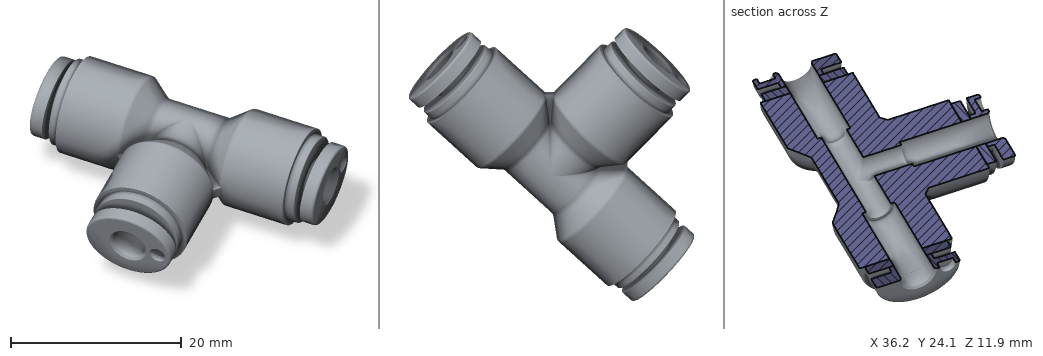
import cadquery as cq

PORT_ANGLES = [0, 180, -90]

PORT_END = 18.1
FLANGE_THICKNESS = 1.63
COLLAR_END = 15.67
BODY_END = 14.48
SHOULDER = 6.5

BODY_DIAMETER = 11.9
THROAT_DIAMETER = 8.0
THROAT_END = THROAT_DIAMETER / 2
CONE_FILLET = 0.5
WEB_THICKNESS = 1.45
WEB_REACH = 6.65
PASSAGE_DIAMETER = 3.2
SEAT_DIAMETER = 4.15

COLLAR_DIAMETER = 10.6
COLLAR_FILLET = 0.1

FLANGE_WIDTH = 10.8
FLANGE_HEIGHT = 8.6
FLANGE_FILLET = 0.25
NECK_DIAMETER = 5.5
NECK_FILLET = 0.1
BUTTON_BORE = 4.2
BORE_CHAMFER = 0.25
DIMPLE_DIAMETER = 2.0
DIMPLE_OFFSET = 3.75
DIMPLE_DEPTH = 0.8


def cylinder_x(start, end, diameter):
    """Cylinder about the X axis between two X positions."""
    return cq.Workplane("YZ", origin=(start, 0, 0)).circle(diameter / 2).extrude(end - start)


def turn_to_port(port, angle):
    """Turn a shape modelled along +X to the port at the given angle."""
    return port.rotate((0, 0, 0), (0, 0, 1), angle)


def make_arm():
    """Solid outside of one housing port: throat, cone and body."""
    profile = [
        (0, 0),
        (0, THROAT_DIAMETER / 2),
        (THROAT_END, THROAT_DIAMETER / 2),
        (SHOULDER, BODY_DIAMETER / 2),
        (BODY_END, BODY_DIAMETER / 2),
        (BODY_END, 0),
    ]
    arm = cq.Workplane("XY").polyline(profile).close().revolve(360, (0, 0, 0), (1, 0, 0))
    middle = (THROAT_END + SHOULDER) / 2
    half_length = (SHOULDER - THROAT_END) / 2 + CONE_FILLET
    cone_ends = cq.selectors.BoxSelector(
        (middle - half_length, -BODY_DIAMETER, -BODY_DIAMETER),
        (middle + half_length, BODY_DIAMETER, BODY_DIAMETER),
    )
    return arm.edges("%CIRCLE").edges(cone_ends).fillet(CONE_FILLET)


def make_web():
    """Flat web that fills the two corners between the run and the branch."""
    edge = BODY_DIAMETER / 2
    outline = [
        (0, 0),
        (-WEB_REACH, -edge),
        (-edge, -WEB_REACH),
        (edge, -WEB_REACH),
        (WEB_REACH, -edge),
    ]
    return cq.Workplane("XY").polyline(outline).close().extrude(WEB_THICKNESS / 2, both=True)


def make_housing():
    """Tee body with a passage and a tube seat in each port."""
    arm = make_arm()
    passage = cylinder_x(0, BODY_END, PASSAGE_DIAMETER)
    seat = cylinder_x(SHOULDER, BODY_END, SEAT_DIAMETER)

    body = make_web()
    for angle in PORT_ANGLES:
        body = body.union(turn_to_port(arm, angle))
    for angle in PORT_ANGLES:
        body = body.cut(turn_to_port(passage, angle)).cut(turn_to_port(seat, angle))
    return body


def make_collar(angle):
    """Ring on the end face of one housing port."""
    ring = cylinder_x(BODY_END, COLLAR_END, COLLAR_DIAMETER)
    ring = ring.cut(cylinder_x(BODY_END, COLLAR_END, SEAT_DIAMETER))
    ring = ring.faces(">X").edges(cq.selectors.RadiusNthSelector(-1)).fillet(COLLAR_FILLET)
    return turn_to_port(ring, angle)


def make_button(angle):
    """Release button: elliptical flange on a round neck, bored for the tube."""
    flange_back = PORT_END - FLANGE_THICKNESS
    button = (
        cq.Workplane("YZ", origin=(flange_back, 0, 0))
        .ellipse(FLANGE_WIDTH / 2, FLANGE_HEIGHT / 2)
        .extrude(FLANGE_THICKNESS)
        .faces(">X")
        .edges()
        .fillet(FLANGE_FILLET)
    )
    button = button.union(cylinder_x(COLLAR_END, flange_back, NECK_DIAMETER))
    button = button.edges("%CIRCLE").edges(">X").fillet(NECK_FILLET)

    button = button.cut(cylinder_x(COLLAR_END, PORT_END, BUTTON_BORE))
    button = button.faces(">X").edges("%CIRCLE").chamfer(BORE_CHAMFER)

    dimple = cylinder_x(PORT_END - DIMPLE_DEPTH, PORT_END, DIMPLE_DIAMETER)
    button = button.cut(dimple.translate((0, DIMPLE_OFFSET, 0)))
    return turn_to_port(button, angle)


housing = make_housing()
collars = [make_collar(angle) for angle in PORT_ANGLES]
buttons = [make_button(angle) for angle in PORT_ANGLES]

result = cq.Compound.makeCompound([body.val() for body in [housing, *collars, *buttons]])